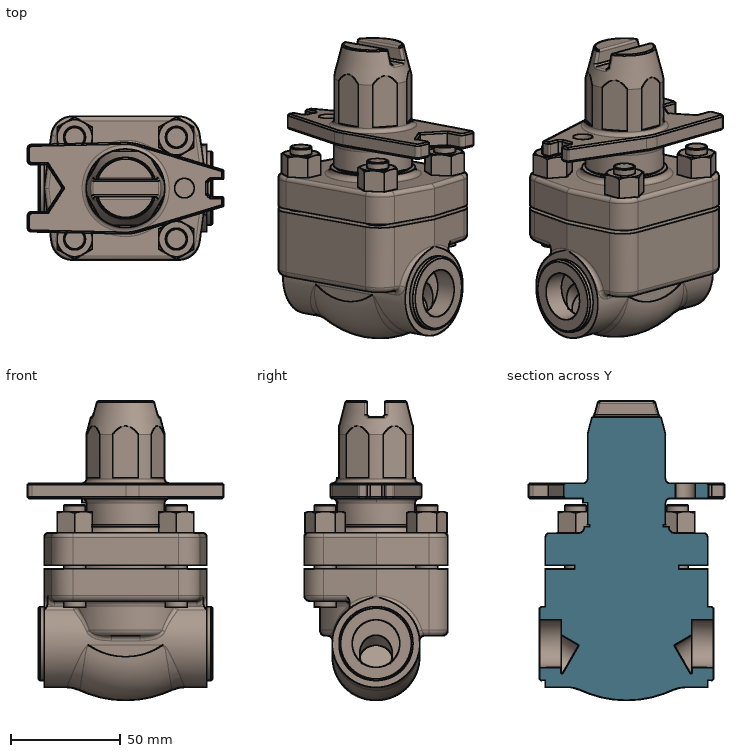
import cadquery as cq
import math


tube_radius = 20.1
tube_half_length = 37.3
port_end_x = 40.0
port_end_radius = 17.0
port_chamfer = 0.8
socket_diameter = 21.8
socket_depth = 10.0
passage_diameter = 15.0
passage_length = 5.0
passage_tilt = 30.0
passage_entry_drop = 4.8

belly_drop = 6.02
belly_half_length = 18.0
belly_radius = 20.08
belly_side_half_width = 20.09
belly_fillet = 14.0

square_half = 33.0
side_vertex_x = tube_half_length
corner_radius = 10.0
body_bottom_z = 3.5
body_top_z = 34.25
ledge_z = 19.4
ledge_wall_y = -12.0
body_edge_fillet = 2.8
casting_fillet = 2.0
chamber_radius = 25.8
cover_bottom_z = 35.9
cover_top_z = 50.8
cover_edge_fillet = 2.0
gasket_radius = 24.0

probe_count = 24
probe_radius = 0.1
inside_corner_share = 0.55

bolt_circle_diameter = 66.0
stud_offset = bolt_circle_diameter / 2 * math.sin(math.radians(45))
stud_diameter = 10.0
stud_bottom_z = 16.7
stud_top_z = 63.7
stud_chamfer = 0.5
nut_across_flats = 16.0
nut_top_z = 60.5
nut_face_radius = 8.1
nut_chamfer_height = 0.6

boss_radius = 19.5
boss_top_z = 53.6
boss_fillet = 2.6
groove_radius = 17.0
neck_radius = 18.0
neck_bottom_z = 54.4
lever_bottom_z = 66.5
lever_top_z = 73.6
hub_fillet = 2.0
pin_diameter = 3.0
pin_tip_x = -20.0
pin_z = 66.0

lever_half_length = 45.0
lever_hub_radius = 21.0
fork_half_width = 20.0
fork_mouth_half_width = 10.8
fork_floor_x = -36.0
fork_vee_x = -29.0
tail_half_width = 8.3
tail_slot_half_width = 4.0
tail_slot_floor_x = 37.7
fork_tip_fillet = 2.0
tail_tip_fillet = 0.8
tail_slot_chamfer = 1.4
lever_edge_chamfer = 0.8
lever_hole_diameter = 9.0
lever_hole_x = 27.0

knob_top_z = 111.33
knob_top_radius = 14.0
knob_cone_base_z = 96.0
knob_across_flats = 34.0
flat_count = 6
flat_bottom_z = 76.0
knob_top_chamfer = 0.6
slot_width = 8.0
slot_floor_z = 104.0
slot_floor_chamfer = 0.9
slot_rim_fillet = 1.0


def cylinder_z(radius, bottom, top, x=0, y=0):
    return cq.Workplane("XY", origin=(x, y, bottom)).circle(radius).extrude(top - bottom)


def cylinder_x(radius, half_length):
    return cq.Workplane("YZ", origin=(-half_length, 0, 0)).circle(radius).extrude(2 * half_length)


def block(bottom, top):
    """Square plate with rounded corners and sides that come to a shallow vertex."""
    outline = [
        (square_half, square_half),
        (-square_half, square_half),
        (-side_vertex_x, 0),
        (-square_half, -square_half),
        (square_half, -square_half),
        (side_vertex_x, 0),
    ]
    plate = cq.Workplane("XY", origin=(0, 0, bottom)).polyline(outline).close().extrude(top - bottom)
    side_vertices = cq.selectors.BoxSelector(
        (-side_vertex_x - 1, -1, bottom - 1), (side_vertex_x + 1, 1, top + 1)
    )
    uprights = cq.selectors.StringSyntaxSelector("|Z")
    corners = cq.selectors.SubtractSelector(uprights, side_vertices)
    return plate.edges(corners).fillet(corner_radius)


def is_inside_corner(solid, edge):
    """True where clearly more than half of a small ring round the edge's middle lies in the solid."""
    middle = edge.positionAt(0.5)
    along = edge.tangentAt(0.5)
    ring = cq.Plane(middle, normal=along)
    inside = 0
    for index in range(probe_count):
        angle = 2 * math.pi * (index + 0.5) / probe_count
        probe = ring.toWorldCoords((probe_radius * math.cos(angle), probe_radius * math.sin(angle)))
        inside += solid.isInside(probe)
    return inside > inside_corner_share * probe_count


def add_belly(body):
    """Round underside: the run tube bends along an arc that dips below the port axis."""
    arc_radius = (belly_half_length**2 + belly_drop**2) / (2 * belly_drop)
    arc_center_z = arc_radius - belly_drop
    half_sweep = math.degrees(math.asin(belly_half_length / arc_radius))
    pipe = (
        cq.Workplane("YZ")
        .center(0, -belly_drop)
        .circle(belly_radius)
        .revolve(2 * half_sweep, (1, arc_radius, 0), (0, arc_radius, 0))
        .rotate((0, 0, arc_center_z), (0, 1, arc_center_z), half_sweep)
    )
    flat_sides = (
        cq.Workplane("XZ", origin=(0, belly_side_half_width, 0))
        .moveTo(-belly_half_length, 0)
        .threePointArc((0, -belly_drop), (belly_half_length, 0))
        .close()
        .extrude(2 * belly_side_half_width)
    )
    body = body.union(pipe).union(flat_sides)
    below_axis = -tube_radius - belly_drop
    for end_x in (-tube_half_length, tube_half_length):
        belly_end = cq.selectors.BoxSelector((0.4 * end_x, -1, below_axis), (0.8 * end_x, 1, -belly_drop))
        body = body.edges(belly_end).fillet(belly_fillet)
    return body


def make_body():
    """Full-depth block at the back, a ledge over a round chamber at the front, and the run tube."""
    ledge = block(ledge_z, body_top_z).faces("<Z").edges().fillet(body_edge_fillet)
    back = block(body_bottom_z, body_top_z).faces("<Z").edges().fillet(body_edge_fillet)
    back_depth = square_half - ledge_wall_y
    back_space = (
        cq.Workplane("XY", origin=(0, ledge_wall_y, body_bottom_z))
        .box(2 * side_vertex_x, back_depth, body_top_z - body_bottom_z, centered=(True, False, False))
    )
    chamber = cylinder_z(chamber_radius, body_bottom_z, body_top_z).faces("<Z").edges().fillet(body_edge_fillet)
    long_tube = cylinder_x(tube_radius, port_end_x)
    body = back.intersect(back_space).union(ledge).union(chamber).union(long_tube)

    solid = body.val()
    inside_corners = [edge for edge in solid.Edges() if is_inside_corner(solid, edge)]
    body = body.newObject(inside_corners).fillet(casting_fillet)
    trim = cq.Workplane("XY").box(2 * tube_half_length, 4 * square_half, 4 * square_half)
    body = add_belly(body.intersect(trim))
    ends = cylinder_x(port_end_radius, port_end_x).faces("<X or >X").chamfer(port_chamfer)
    return body.union(ends)


def cut_ports(part):
    """Socket in each port end, with a passage sloping down and inward from its floor."""
    socket_floor_x = port_end_x - socket_depth
    inner_side = cq.Workplane("XY").box(2 * socket_floor_x, 4 * tube_radius, 4 * tube_radius)
    tilt = math.radians(passage_tilt)
    for side in (-1, 1):
        socket = cq.Workplane("YZ", origin=(side * port_end_x, 0, 0)).circle(socket_diameter / 2)
        part = part.cut(socket.extrude(-side * socket_depth))
        inward = cq.Vector(-side * math.cos(tilt), 0, -math.sin(tilt))
        entry = cq.Vector(side * socket_floor_x, 0, -passage_entry_drop)
        start = entry - inward * passage_diameter
        passage = cq.Solid.makeCylinder(
            passage_diameter / 2, passage_diameter + passage_length, start, inward
        )
        part = part.cut(inner_side.intersect(cq.Workplane(passage)))
    return part


def fillet_ring(radius, z, size, up):
    """Concave ring of the given size round a vertical cylinder; up is +1 or -1."""
    middle = size * (1 - math.sin(math.radians(45)))
    return (
        cq.Workplane("XZ")
        .moveTo(0, z)
        .lineTo(radius + size, z)
        .threePointArc((radius + middle, z + up * middle), (radius, z + up * size))
        .lineTo(0, z + up * size)
        .close()
        .revolve(360, (0, 0, 0), (0, 1, 0))
    )


def make_cover():
    cover = block(cover_bottom_z, cover_top_z).faces(">Z").edges().fillet(cover_edge_fillet)
    cover = cover.union(cylinder_z(boss_radius, cover_top_z, boss_top_z))
    cover = cover.union(fillet_ring(boss_radius, cover_top_z, boss_fillet, 1))
    gasket = cylinder_z(gasket_radius, body_top_z, cover_bottom_z)
    return cover.union(gasket)


def make_stud(x, y):
    stud = cylinder_z(stud_diameter / 2, stud_bottom_z, stud_top_z, x, y)
    stud = stud.faces(">Z").chamfer(stud_chamfer)
    across_corners = nut_across_flats / math.cos(math.radians(30))
    nut = (
        cq.Workplane("XY", origin=(x, y, cover_top_z))
        .transformed(rotate=(0, 0, 90))
        .polygon(6, across_corners)
        .extrude(nut_top_z - cover_top_z)
    )
    corner_chamfer = across_corners / 2 - nut_face_radius
    rounding = (
        cylinder_z(across_corners / 2, cover_top_z, nut_top_z, x, y)
        .faces(">Z")
        .chamfer(nut_chamfer_height, corner_chamfer)
    )
    return stud.union(nut.intersect(rounding))


def make_lever():
    """Flat lever: forked at -X, round at the hub and tapering to a slotted tail at +X."""
    tip_distance = math.hypot(lever_half_length, tail_half_width)
    tangent_angle = math.atan2(tail_half_width, lever_half_length) + math.acos(lever_hub_radius / tip_distance)
    middle_angle = (tangent_angle + math.pi / 2) / 2

    def on_hub(angle):
        return lever_hub_radius * math.cos(angle), lever_hub_radius * math.sin(angle)

    def mirrored(point):
        return point[0], -point[1]

    plate = (
        cq.Workplane("XY", origin=(0, 0, lever_bottom_z))
        .moveTo(fork_vee_x, 0)
        .lineTo(fork_floor_x, fork_mouth_half_width)
        .lineTo(-lever_half_length, fork_mouth_half_width)
        .lineTo(-lever_half_length, fork_half_width)
        .lineTo(0, lever_hub_radius)
        .threePointArc(on_hub(middle_angle), on_hub(tangent_angle))
        .lineTo(lever_half_length, tail_half_width)
        .lineTo(lever_half_length, tail_slot_half_width)
        .lineTo(tail_slot_floor_x, tail_slot_half_width)
        .lineTo(tail_slot_floor_x, -tail_slot_half_width)
        .lineTo(lever_half_length, -tail_slot_half_width)
        .lineTo(lever_half_length, -tail_half_width)
        .lineTo(*mirrored(on_hub(tangent_angle)))
        .threePointArc(mirrored(on_hub(middle_angle)), (0, -lever_hub_radius))
        .lineTo(-lever_half_length, -fork_half_width)
        .lineTo(-lever_half_length, -fork_mouth_half_width)
        .lineTo(fork_floor_x, -fork_mouth_half_width)
        .close()
        .extrude(lever_top_z - lever_bottom_z)
    )
    slot_corners = cq.selectors.BoxSelector(
        (tail_slot_floor_x - 1, -tail_slot_half_width - 1, lever_bottom_z),
        (tail_slot_floor_x + 1, tail_slot_half_width + 1, lever_top_z),
    )
    plate = plate.edges("|Z").edges(slot_corners).chamfer(tail_slot_chamfer)
    plate = plate.faces("<X").edges("|Z").fillet(fork_tip_fillet)
    plate = plate.faces(">X").edges("|Z").fillet(tail_tip_fillet)
    plate = plate.faces(">Z or <Z").edges().chamfer(lever_edge_chamfer)
    hole = cylinder_z(lever_hole_diameter / 2, lever_bottom_z, lever_top_z, lever_hole_x)
    return plate.cut(hole)


def make_knob():
    """Tapered knob with wrench flats and a rounded screwdriver slot along X."""
    knob = (
        cq.Workplane("XZ")
        .moveTo(0, lever_top_z)
        .lineTo(neck_radius, lever_top_z)
        .lineTo(neck_radius, knob_cone_base_z)
        .lineTo(knob_top_radius, knob_top_z)
        .lineTo(0, knob_top_z)
        .close()
        .revolve(360, (0, 0, 0), (0, 1, 0))
        .faces(">Z")
        .chamfer(knob_top_chamfer)
    )
    for index in range(flat_count):
        flat = (
            cq.Workplane("XY")
            .box(neck_radius, 2 * neck_radius, knob_top_z - flat_bottom_z, centered=(False, True, False))
            .translate((knob_across_flats / 2, 0, flat_bottom_z))
            .rotate((0, 0, 0), (0, 0, 1), 90 + index * 360 / flat_count)
        )
        knob = knob.cut(flat)
    slot = (
        cq.Workplane("XY")
        .box(4 * neck_radius, slot_width, knob_top_z - slot_floor_z, centered=(True, True, False))
        .translate((0, 0, slot_floor_z))
        .edges("|X and <Z")
        .chamfer(slot_floor_chamfer)
    )
    knob = knob.cut(slot)
    rim_zone = cq.selectors.BoxSelector(
        (-neck_radius, -slot_width / 2 - 0.1, slot_floor_z - 0.1),
        (neck_radius, slot_width / 2 + 0.1, knob_top_z + 0.1),
    )
    floor_lines = cq.selectors.BoxSelector(
        (-0.1, -slot_width, slot_floor_z - 0.1), (0.1, slot_width, slot_floor_z + slot_floor_chamfer + 0.1)
    )
    rim = cq.selectors.SubtractSelector(rim_zone, floor_lines)
    return knob.edges(rim).fillet(slot_rim_fillet)


def make_spindle():
    groove = cylinder_z(groove_radius, boss_top_z, neck_bottom_z)
    neck = cylinder_z(neck_radius, neck_bottom_z, lever_bottom_z)
    above = fillet_ring(neck_radius, lever_top_z, hub_fillet, 1)
    below = fillet_ring(neck_radius, lever_bottom_z, hub_fillet, -1)
    pin = (
        cq.Workplane("YZ", origin=(pin_tip_x, 0, pin_z)).circle(pin_diameter / 2).extrude(-pin_tip_x)
    )
    return groove.union(neck).union(above).union(below).union(pin).union(make_lever()).union(make_knob())


result = cut_ports(make_body()).union(make_cover()).union(make_spindle())
for stud_x in (-stud_offset, stud_offset):
    for stud_y in (-stud_offset, stud_offset):
        result = result.union(make_stud(stud_x, stud_y))